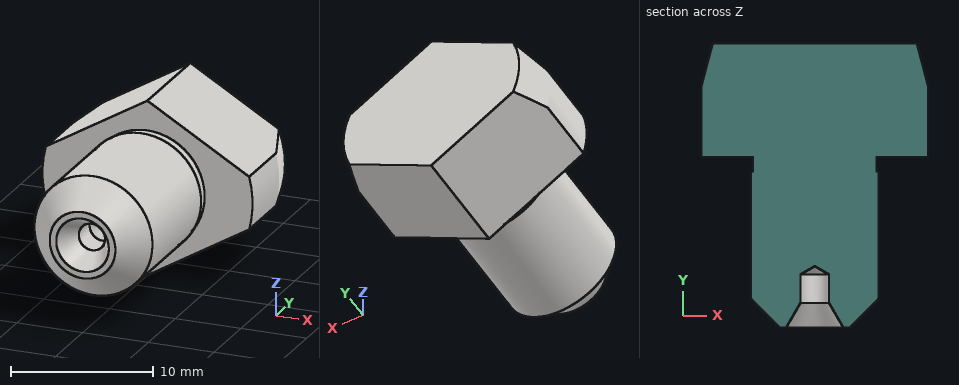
import cadquery as cq
import math


head_length = 8.0
head_radius = 8.0
head_apex_height = 6.6
head_corner_height = 2.0
taper_length = 3.0
taper_angle = 15.0

neck_radius = 4.35
neck_length = 1.0
shank_radius = 4.5
tip_chamfer = 2.0
total_length = 20.0
tip_radius = shank_radius - tip_chamfer
tip_y = head_length - total_length

countersink_radius = 2.0
pilot_radius = 1.0
countersink_angle = 30.0
pilot_length = 2.0
drill_point_angle = 60.0


def revolve_about_y(points):
    """Turn a closed (radius, y) outline about the Y axis."""
    return cq.Workplane("XY").polyline(points).close().revolve(360, (0, 0, 0), (0, 1, 0))


def make_head():
    """Round blank with a tapered back, cut to four sloping flats."""
    back_radius = head_radius - taper_length * math.tan(math.radians(taper_angle))
    blank = revolve_about_y([
        (0, 0),
        (head_radius, 0),
        (head_radius, head_length - taper_length),
        (back_radius, head_length),
        (0, head_length),
    ])
    corner_x = math.sqrt(head_radius**2 - head_corner_height**2)
    flat_slope = (head_apex_height - head_corner_height) / corner_x
    rhombus_half_width = head_apex_height / flat_slope
    rhombus = (
        cq.Workplane("XZ")
        .polyline([
            (rhombus_half_width, 0),
            (0, head_apex_height),
            (-rhombus_half_width, 0),
            (0, -head_apex_height),
        ])
        .close()
        .extrude(-head_length)
    )
    return blank.intersect(rhombus)


def make_shank():
    """Relieved neck, cylindrical shank and chamfered tip."""
    return revolve_about_y([
        (0, 0),
        (neck_radius, 0),
        (neck_radius, -neck_length),
        (shank_radius, -neck_length),
        (shank_radius, tip_y + tip_chamfer),
        (tip_radius, tip_y),
        (0, tip_y),
    ])


def make_centre_hole():
    """Countersunk pilot hole ending in a drill point."""
    countersink_depth = (countersink_radius - pilot_radius) / math.tan(math.radians(countersink_angle))
    pilot_start_y = tip_y + countersink_depth
    pilot_end_y = pilot_start_y + pilot_length
    point_y = pilot_end_y + pilot_radius / math.tan(math.radians(drill_point_angle))
    return revolve_about_y([
        (0, tip_y),
        (countersink_radius, tip_y),
        (pilot_radius, pilot_start_y),
        (pilot_radius, pilot_end_y),
        (0, point_y),
    ])


result = make_head().union(make_shank()).cut(make_centre_hole())